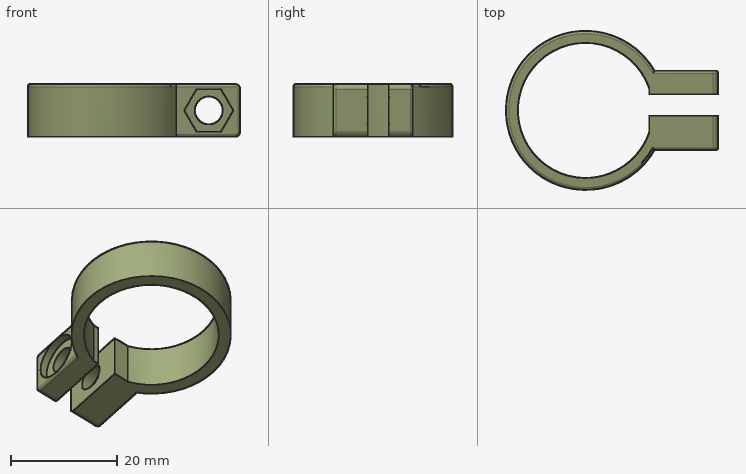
import cadquery as cq
import math

height = 10.0
ring_radius = 15.0
bore_diameter = 25.4

ear_end_x = 25.0
ear_root_x = 12.0
ear_half_width = ring_radius / 2
slot_low_y = -1.0
slot_high_y = 3.0

screw_x = 19.1
screw_diameter = 5.2
head_diameter = 9.2
head_recess_depth = 1.5
nut_across_flats = 8.0
nut_corner_diameter = nut_across_flats / math.cos(math.pi / 6)
nut_pocket_depth = 4.0

end_fillet = 1.0
edge_fillet = end_fillet / 2

ear_outer_x = math.sqrt(ring_radius**2 - ear_half_width**2)

tolerance = 0.005


def make_ear(low_y, high_y):
    """Block from the bore to the free end, rounded at its top and bottom end edges."""
    return (
        cq.Workplane("XY")
        .box(ear_end_x - ear_root_x, high_y - low_y, height, centered=False)
        .translate((ear_root_x, low_y, 0))
        .edges("|Y and >X")
        .fillet(end_fillet)
    )


def make_ring():
    """Ring opened by the slot between the ears."""
    ring = cq.Workplane("XY").circle(ring_radius).circle(bore_diameter / 2).extrude(height)
    slot = (
        cq.Workplane("XY")
        .box(ear_end_x, slot_high_y - slot_low_y, height, centered=False)
        .translate((0, slot_low_y, 0))
    )
    return ring.cut(slot)


def round_outer_edges(clamp):
    """Round the ring's top outer edge and the outline of each ear's outer face."""
    ear_faces = [face for face in clamp.faces("|Y").vals()
                 if abs(abs(face.Center().y) - ear_half_width) < tolerance]
    ear_edges = [edge for face in ear_faces for edge in face.Edges()
                 if edge.Center().x > ear_outer_x + tolerance]
    ring_edges = [edge for edge in clamp.faces(">Z").edges("%CIRCLE").vals()
                  if abs(edge.radius() - ring_radius) < tolerance]
    return clamp.newObject(ear_edges + ring_edges).fillet(edge_fillet)


def plane_on_screw(y):
    """Workplane at the given Y, centred on the screw, with its normal toward -Y."""
    return cq.Workplane("XZ", origin=(screw_x, y, height / 2))


clamp = make_ring()
clamp = clamp.union(make_ear(-ear_half_width, slot_low_y))
clamp = clamp.union(make_ear(slot_high_y, ear_half_width))
clamp = round_outer_edges(clamp)

screw_hole = plane_on_screw(-ear_half_width).circle(screw_diameter / 2).extrude(-2 * ear_half_width)
nut_pocket = plane_on_screw(-ear_half_width).polygon(6, nut_corner_diameter).extrude(-nut_pocket_depth)
head_recess = plane_on_screw(ear_half_width).circle(head_diameter / 2).extrude(head_recess_depth)

result = clamp.cut(screw_hole).cut(nut_pocket).cut(head_recess)